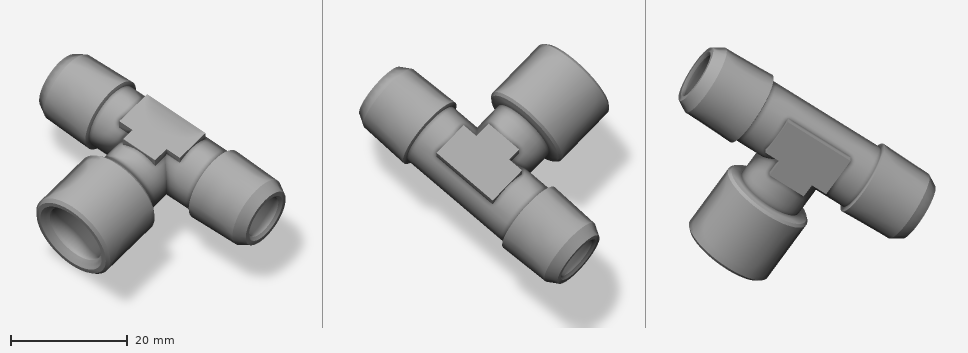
import cadquery as cq
import math

run_half_length = 23.0
branch_length = 24.5
tube_radius = 6.0
bore_radius = 4.0

spigot_length = 11.5
spigot_max_radius = 6.82
spigot_shoulder_slope = math.tan(math.radians(15))
lead_length = 2.0
lead_slope = math.tan(math.radians(30))
thread_taper = 1 / 32
bore_chamfer = 0.5

socket_radius = 8.25
socket_length = 12.9
mouth_edge_chamfer = 0.55
back_edge_chamfer = 0.45
socket_shoulder_slope = math.tan(math.radians(12))
socket_bore_radius = 5.73
socket_bore_depth = 11.0
mouth_radius = 6.87
mouth_half_angle = math.radians(45)
drill_half_angle = math.radians(59)

pad_half_height = 6.5
pad_half_width = 6.5
pad_back_y = 3.75
pad_left_step_y = -3.75
pad_right_step_y = -3.15
pad_stem_half_width = 3.55
pad_front_y = -6.25


def revolve_on_x(points):
    """Revolve an (axial, radius) outline about the X axis."""
    return cq.Workplane("XY").polyline(points).close().revolve(360, (0, 0, 0), (1, 0, 0))


def along_branch(body):
    """Turn a body built along +X so that it points along -Y."""
    return body.rotate((0, 0, 0), (0, 0, 1), -90)


def revolve_symmetric_on_x(half_points):
    """Revolve an outline given for +X only, from the middle outwards, together with its mirror image."""
    mirrored = [(-x, radius) for x, radius in half_points]
    return revolve_on_x(mirrored[::-1] + half_points)


def make_run():
    back_x = run_half_length - spigot_length
    lead_x = run_half_length - lead_length
    lead_radius = spigot_max_radius - (lead_x - back_x) * thread_taper
    tip_radius = lead_radius - lead_length * lead_slope
    shoulder_x = back_x - (spigot_max_radius - tube_radius) * spigot_shoulder_slope
    return revolve_symmetric_on_x([
        (shoulder_x, tube_radius),
        (back_x, spigot_max_radius),
        (lead_x, lead_radius),
        (run_half_length, tip_radius),
        (run_half_length, 0),
    ])


def make_run_bore():
    return revolve_symmetric_on_x([
        (run_half_length - bore_chamfer, bore_radius),
        (run_half_length, bore_radius + bore_chamfer),
        (run_half_length, 0),
    ])


def make_branch():
    back_x = branch_length - socket_length
    back_radius = socket_radius - back_edge_chamfer
    shoulder_x = back_x - (back_radius - tube_radius) * socket_shoulder_slope
    return along_branch(revolve_on_x([
        (0, 0),
        (0, tube_radius),
        (shoulder_x, tube_radius),
        (back_x, back_radius),
        (back_x + back_edge_chamfer, socket_radius),
        (branch_length - mouth_edge_chamfer, socket_radius),
        (branch_length, socket_radius - mouth_edge_chamfer),
        (branch_length, 0),
    ]))


def make_branch_bore():
    floor_x = branch_length - socket_bore_depth
    drill_tip_length = (socket_bore_radius - bore_radius) / math.tan(drill_half_angle)
    mouth_depth = (mouth_radius - socket_bore_radius) / math.tan(mouth_half_angle)
    return along_branch(revolve_on_x([
        (0, 0),
        (0, bore_radius),
        (floor_x - drill_tip_length, bore_radius),
        (floor_x, socket_bore_radius),
        (branch_length - mouth_depth, socket_bore_radius),
        (branch_length, mouth_radius),
        (branch_length, 0),
    ]))


def make_pads():
    """One T-shaped block through the junction; it stands out above and below the tubes."""
    outline = [
        (-pad_half_width, pad_back_y),
        (pad_half_width, pad_back_y),
        (pad_half_width, pad_right_step_y),
        (pad_stem_half_width, pad_right_step_y),
        (pad_stem_half_width, pad_front_y),
        (-pad_stem_half_width, pad_front_y),
        (-pad_stem_half_width, pad_left_step_y),
        (-pad_half_width, pad_left_step_y),
    ]
    return cq.Workplane("XY").polyline(outline).close().extrude(pad_half_height, both=True)


body = make_run().union(make_branch()).union(make_pads())
result = body.cut(make_run_bore()).cut(make_branch_bore())